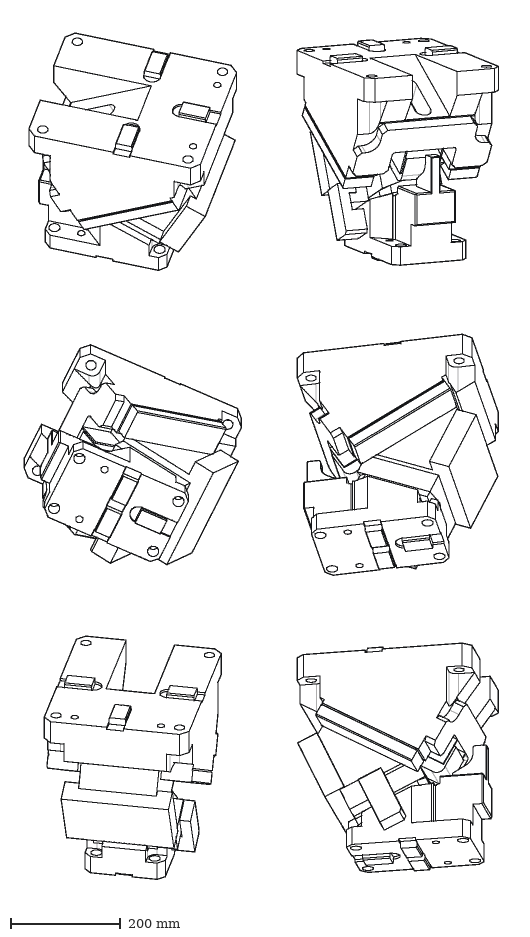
import cadquery as cq
import math


TOTAL_HEIGHT = 372.0

GUIDE_ANGLE = 30.0
DRIVER_ANGLE = 25.0

KEY_LENGTH = 50.5
KEY_WIDTH = 31.2
KEY_HEIGHT = 13.5
KEY_PROUD = 9.0
KEY_CHAMFER_SIDE = 1.5
KEY_CHAMFER_HEIGHT = 3.0
KEYWAY_DEPTH = KEY_HEIGHT - KEY_PROUD
KEYWAY_RUNOUT = KEY_WIDTH / 2

HOLDER_LEFT = 5.0
HOLDER_RIGHT = 330.7
HOLDER_HALF = 135.0
HOLDER_TOP = TOTAL_HEIGHT - KEY_PROUD
HOLDER_FLANGE_BOTTOM = 318.8
HOLDER_CORNER = 15.0
HOLDER_BOLT_HOLE = 18.5
HOLDER_BOLT_X = (29.8, 305.5)
HOLDER_BOLT_Y = 115.0
DOWEL_HOLE = 13.0
DOWEL_Y = 80.5
DOWEL_DEPTH = 22.5
HOLDER_KEY_X = 185.0
HOLDER_KEY_EDGE_GAP = 14.5
REAR_KEY_EDGE_GAP = 20.5

GUIDE_BOTTOM = 90.0
GUIDE_START = 169.0
GUIDE_END = 376.0
PLATE_TOP = 215.8
WEDGE_KNEE_X = 38.0
WEDGE_KNEE_Z = 273.5
STOP_FACE = 387.3
STOP_BOTTOM = 79.5
STOP_GROOVE_TOP = 97.5
RELIEF_LEFT = 49.5
RELIEF_RIGHT = 285.0
RELIEF_Y = 95.5
RELIEF_RADIUS = 15.0

POCKET_END_X = 190.0
POCKET_HALF = 45.0
SLOT_WIDTH = 31.2
SLOT_LEFT_X = 44.3
SLOT_RIGHT_X = 132.5
SLOT_DEPTH = 44.5

RAIL_INNER = 77.5
RAIL_BOTTOM = 64.5
RAIL_TOP = 87.0
RAIL_START = 169.5
RAIL_CHAMFER = 2.2
SHIM_RECESS = 1.0
SHIM_SETBACK = 5.2

PLATE_FACE = 148.8
PLATE_BOTTOM = 110.5
PLATE_NECK_CHAMFER = 9.0
PLATE_SHOULDER_RADIUS = 24.0
PLATE_SHOULDER = 166.0
PLATE_CORNER = 8.0
WINDOW_HALF = 64.0
WINDOW_TOP = 160.0
WINDOW_RADIUS = 5.5
WINDOW_END = 214.3

SLIDE_START = 37.0
SLIDE_END = 186.0
SLIDE_TOP = 88.5
SLIDE_HALF = 72.5
SOLE_HALF = 59.5
SOLE_TOP = 207.0
TOOL_BACK = 176.5
TOOL_FACE = 216.0
TOOL_TOP = 327.0
TOOL_HALF = 100.0
HOOK_HALF = 35.0
HOOK_FACE = 144.5
HOOK_TOP = 146.5
HOOK_RADIUS = 15.5
HOOK_CENTER = (159.5, 102.0)
HOOK_BOTTOM = 86.5
CHEEK_OUTER = 38.0
CHEEK_BOTTOM = 107.5

ARM_START = 105.0
ARM_OUTER = 97.5
ARM_BOTTOM = 163.0
CLAW_START = 100.5
CLAW_END = 147.3
CLAW_OUTER = 117.5
CLAW_UPPER_INNER = 83.5
CLAW_TOP = 199.5
CLAW_NOTCH_TOP = 180.5
CLAW_NOTCH_BOTTOM = 148.5
CLAW_BOTTOM = 104.0
CLAW_CHAMFER = 5.5

DRIVER_LEFT = 19.5
DRIVER_RIGHT = 250.7
DRIVER_HALF = 74.8
DRIVER_BOTTOM = KEY_PROUD
DRIVER_FLANGE_TOP = 43.0
DRIVER_CORNER = 12.5
DECK = 151.5
PAD_TOP = 157.0
PAD_LEFT = 92.3
PAD_RIGHT = 220.0
COLUMN_HALF = 40.5
COLUMN_STEP_X = 89.3
COLUMN_FLARE_X = 95.5
COLUMN_FLARE_Y = 43.5
DRIVER_RELIEF_Y = 41.0
NOSE_RIGHT = 80.5
NOSE_BOTTOM = 83.5
NOSE_TOP = 143.5
NOSE_CHAMFER = 2.5
FIN_HALF = 9.3
FIN_TOP = 209.0
FIN_WIDTH = 25.5
FIN_TIP_RADIUS = 4.5
FIN_ARC_RADIUS = 25.3
FIN_ARC_START_Z = 195.0
FIN_FOOT_X = 64.0
FIN_SLOPE = 30.0
FIN_CHAMFER = 1.5
ROOF_ANGLE = 15.0
ROOF_EDGE = 168.5
ROOF_CORNER_SHIFT = 6.0
LIP_TOP = 166.3
DRIVER_BOLT_HOLE = 20.0
DRIVER_BOLT_X = (34.5, 234.5)
DRIVER_BOLT_Y = 54.3
DRIVER_DOWEL_X = 85.5
DRIVER_KEY_X = 135.0
DRIVER_KEY_EDGE_GAP = 14.5
DRIVER_REAR_KEY_EDGE_GAP = 21.0



def guide_point(a, b):
    """X, Z of a point given along and square to the guide rails."""
    angle = math.radians(GUIDE_ANGLE)
    return (a * math.cos(angle) - b * math.sin(angle), a * math.sin(angle) + b * math.cos(angle))


def driver_point(u, w):
    """X, Z of a point given along and square to the driver surface."""
    angle = math.radians(DRIVER_ANGLE)
    return (u * math.cos(angle) + w * math.sin(angle), w * math.cos(angle) - u * math.sin(angle))


def driver_height(x, w):
    """Z at the given X of the line that lies w square to the driver frame's origin."""
    angle = math.radians(DRIVER_ANGLE)
    return (w - x * math.sin(angle)) / math.cos(angle)


def tilt_to_guide(shape):
    """Turn a shape built with X, Z as (a, b) into the guide frame."""
    return shape.rotate((0, 0, 0), (0, 1, 0), -GUIDE_ANGLE)


def tilt_to_driver(shape):
    """Turn a shape built with X, Z as (u, w) into the driver frame."""
    return shape.rotate((0, 0, 0), (0, 1, 0), DRIVER_ANGLE)


def box(x0, x1, y0, y1, z0, z1):
    return cq.Workplane("XY").box(x1 - x0, y1 - y0, z1 - z0, centered=False).translate((x0, y0, z0))


def side_prism(points, half_width):
    """Prism of an X-Z outline, symmetric about Y = 0."""
    return cq.Workplane("XZ").polyline(points).close().extrude(half_width, both=True)


def cross_prism(points, start, end):
    """Prism of a Y-Z outline, run along X from start to end."""
    return cq.Workplane("YZ").workplane(offset=start).polyline(points).close().extrude(end - start)


def mirror_pair(shape):
    """The shape together with its mirror image across Y = 0."""
    return shape.union(shape.mirror("XZ"))


def make_key():
    """Key along X, centred on the origin, standing on Z = 0, with its top long edges bevelled."""
    half = KEY_WIDTH / 2
    bevel_z = KEY_HEIGHT - KEY_CHAMFER_HEIGHT
    top_half = half - KEY_CHAMFER_SIDE
    outline = [(-half, 0), (half, 0), (half, bevel_z), (top_half, KEY_HEIGHT),
               (-top_half, KEY_HEIGHT), (-half, bevel_z)]
    return cross_prism(outline, -KEY_LENGTH / 2, KEY_LENGTH / 2)


def make_cross_key():
    return make_key().rotate((0, 0, 0), (0, 0, 1), 90)


def vertical_holes(xs, ys, diameter, z0, z1):
    points = [(x, y) for x in xs for y in ys]
    return cq.Workplane("XY").workplane(offset=z0).pushPoints(points).circle(diameter / 2).extrude(z1 - z0)



def holder_flange():
    return (box(HOLDER_LEFT, HOLDER_RIGHT, -HOLDER_HALF, HOLDER_HALF, HOLDER_FLANGE_BOTTOM, HOLDER_TOP)
            .edges("|Z").chamfer(HOLDER_CORNER))


def holder_wedge():
    """Wedge under the flange, with a stop nose at the right and rounded corner reliefs."""
    angle = math.radians(GUIDE_ANGLE)
    nose_z = STOP_BOTTOM / math.cos(angle) + HOLDER_RIGHT * math.tan(angle)
    wedge = side_prism([
        (HOLDER_LEFT, HOLDER_FLANGE_BOTTOM),
        (HOLDER_RIGHT, HOLDER_FLANGE_BOTTOM),
        (HOLDER_RIGHT, nose_z),
        guide_point(STOP_FACE, STOP_BOTTOM),
        guide_point(STOP_FACE, STOP_GROOVE_TOP),
        guide_point(GUIDE_END, STOP_GROOVE_TOP),
        guide_point(GUIDE_END, GUIDE_BOTTOM),
        guide_point(GUIDE_START, GUIDE_BOTTOM),
        guide_point(GUIDE_START, PLATE_TOP),
        (WEDGE_KNEE_X, WEDGE_KNEE_Z),
    ], HOLDER_HALF)
    left_relief = (box(0, RELIEF_LEFT, RELIEF_Y, HOLDER_HALF, 0, HOLDER_FLANGE_BOTTOM)
                   .edges("|Z and >X and <Y").fillet(RELIEF_RADIUS))
    right_relief = (box(RELIEF_RIGHT, HOLDER_RIGHT, RELIEF_Y, HOLDER_HALF, 0, HOLDER_FLANGE_BOTTOM)
                    .edges("|Z and <X and <Y").fillet(RELIEF_RADIUS))
    return wedge.cut(mirror_pair(left_relief)).cut(mirror_pair(right_relief))


def guide_rails():
    """Rails under both sides of the wedge, each on a slightly recessed shim."""
    rail = box(RAIL_START, GUIDE_END, RAIL_INNER, HOLDER_HALF, RAIL_BOTTOM, RAIL_TOP)
    rail = rail.edges("|X and >Y and <Z").chamfer(RAIL_CHAMFER)
    shim = box(RAIL_START + SHIM_SETBACK, GUIDE_END, RAIL_INNER, HOLDER_HALF - SHIM_RECESS,
               RAIL_TOP, GUIDE_BOTTOM)
    return tilt_to_guide(mirror_pair(rail.union(shim)))


def stop_plate():
    """Plate across the left end of the wedge, narrowed at the top by concave shoulders."""
    shoulder_y = RELIEF_Y + PLATE_SHOULDER_RADIUS
    arc_z = PLATE_SHOULDER + PLATE_SHOULDER_RADIUS
    arc_reach = PLATE_SHOULDER_RADIUS * math.sqrt(0.5)
    half = (
        cq.Workplane("YZ").workplane(offset=PLATE_FACE)
        .moveTo(0, PLATE_TOP)
        .lineTo(RELIEF_Y - PLATE_NECK_CHAMFER, PLATE_TOP)
        .lineTo(RELIEF_Y, PLATE_TOP - PLATE_NECK_CHAMFER)
        .lineTo(RELIEF_Y, arc_z)
        .threePointArc((shoulder_y - arc_reach, arc_z - arc_reach), (shoulder_y, PLATE_SHOULDER))
        .lineTo(HOLDER_HALF - PLATE_CORNER, PLATE_SHOULDER)
        .lineTo(HOLDER_HALF, PLATE_SHOULDER - PLATE_CORNER)
        .lineTo(HOLDER_HALF, PLATE_BOTTOM + PLATE_CORNER)
        .lineTo(HOLDER_HALF - PLATE_CORNER, PLATE_BOTTOM)
        .lineTo(0, PLATE_BOTTOM)
        .close()
        .extrude(GUIDE_START - PLATE_FACE)
    )
    return tilt_to_guide(mirror_pair(half))


def hook_window():
    """Opening through the stop plate and into the wedge that clears the slide's hook."""
    window = box(PLATE_FACE, WINDOW_END, -WINDOW_HALF, WINDOW_HALF, GUIDE_BOTTOM, WINDOW_TOP)
    window = window.edges("|X and >Z").fillet(WINDOW_RADIUS)
    flare_half = WINDOW_HALF + PLATE_CORNER
    flare = cross_prism([
        (-flare_half, GUIDE_BOTTOM),
        (flare_half, GUIDE_BOTTOM),
        (flare_half, PLATE_BOTTOM),
        (WINDOW_HALF, PLATE_BOTTOM + PLATE_CORNER),
        (-WINDOW_HALF, PLATE_BOTTOM + PLATE_CORNER),
        (-flare_half, PLATE_BOTTOM),
    ], PLATE_FACE, WINDOW_END)
    return tilt_to_guide(window.union(flare))


def holder_pocket():
    """Sloping pocket, open to the left, with a round-ended slot in its floor."""
    angle = math.radians(GUIDE_ANGLE)
    floor = HOLDER_TOP * math.cos(angle) - POCKET_END_X * math.sin(angle)
    pocket = side_prism([
        (POCKET_END_X, HOLDER_TOP),
        guide_point(0, floor),
        (guide_point(0, floor)[0], HOLDER_TOP),
    ], POCKET_HALF)
    slot_length = (SLOT_RIGHT_X - SLOT_LEFT_X) / math.cos(angle)
    slot_middle = ((SLOT_LEFT_X + SLOT_RIGHT_X) / 2 + floor * math.sin(angle)) / math.cos(angle)
    slot = (cq.Workplane("XY").workplane(offset=floor).center(slot_middle, 0)
            .slot2D(slot_length, SLOT_WIDTH).extrude(-SLOT_DEPTH))
    return pocket.union(tilt_to_guide(slot))


def round_keyway(length):
    """Keyway cutter along -X from the origin to its round end, standing on Z = 0."""
    radius = KEY_WIDTH / 2
    strip = box(radius - length, 0, -radius, radius, 0, KEYWAY_DEPTH)
    end = cq.Workplane("XY").center(radius - length, 0).circle(radius).extrude(KEYWAY_DEPTH)
    return strip.union(end)


def make_holder():
    keyway_floor = HOLDER_TOP - KEYWAY_DEPTH
    side_keyway = (round_keyway(HOLDER_KEY_EDGE_GAP + KEY_LENGTH + KEYWAY_RUNOUT)
                   .rotate((0, 0, 0), (0, 0, 1), 90)
                   .translate((HOLDER_KEY_X, HOLDER_HALF, keyway_floor)))
    rear_keyway = (round_keyway(REAR_KEY_EDGE_GAP + KEY_LENGTH + KEYWAY_RUNOUT)
                   .translate((HOLDER_RIGHT, 0, keyway_floor)))
    side_key_y = HOLDER_HALF - HOLDER_KEY_EDGE_GAP - KEY_LENGTH / 2
    rear_key_x = HOLDER_RIGHT - REAR_KEY_EDGE_GAP - KEY_LENGTH / 2
    bolt_holes = vertical_holes(HOLDER_BOLT_X, (-HOLDER_BOLT_Y, HOLDER_BOLT_Y), HOLDER_BOLT_HOLE,
                                HOLDER_FLANGE_BOTTOM, HOLDER_TOP)
    dowel_holes = vertical_holes(HOLDER_BOLT_X[1:], (-DOWEL_Y, DOWEL_Y), DOWEL_HOLE,
                                 HOLDER_TOP - DOWEL_DEPTH, HOLDER_TOP)
    return (
        holder_flange()
        .union(holder_wedge())
        .union(guide_rails())
        .union(stop_plate())
        .cut(hook_window())
        .cut(holder_pocket())
        .cut(mirror_pair(side_keyway))
        .cut(rear_keyway)
        .cut(bolt_holes)
        .cut(dowel_holes)
        .union(mirror_pair(make_cross_key().translate((HOLDER_KEY_X, side_key_y, keyway_floor))))
        .union(make_key().translate((rear_key_x, 0, keyway_floor)))
    )



def roof_rise(distance):
    """Rise of the V surface over a distance across it."""
    return distance * math.tan(math.radians(ROOF_ANGLE))



def slide_body():
    """Block under the guide, cut off square to it at the right end."""
    angle_gap = math.radians(GUIDE_ANGLE + DRIVER_ANGLE)
    left_a = (SLIDE_START + SLIDE_TOP * math.sin(angle_gap)) / math.cos(angle_gap)
    right_b = (TOOL_TOP - GUIDE_END * math.sin(angle_gap)) / math.cos(angle_gap)
    return side_prism([
        driver_point(SLIDE_START, SOLE_TOP),
        guide_point(left_a, SLIDE_TOP),
        guide_point(GUIDE_END, SLIDE_TOP),
        guide_point(GUIDE_END, right_b),
        driver_point(TOOL_BACK, TOOL_TOP),
        driver_point(TOOL_BACK, SOLE_TOP),
    ], SLIDE_HALF)


def slide_sole():
    """Narrower block under the slide, hollowed to a V that rides on the driver."""
    sole = cross_prism([
        (-SOLE_HALF, ROOF_EDGE),
        (0, ROOF_EDGE + roof_rise(SOLE_HALF)),
        (SOLE_HALF, ROOF_EDGE),
        (SOLE_HALF, SOLE_TOP),
        (-SOLE_HALF, SOLE_TOP),
    ], SLIDE_START, SLIDE_END)
    return tilt_to_driver(sole)


def tool_plate():
    return tilt_to_driver(box(TOOL_BACK, TOOL_FACE, -TOOL_HALF, TOOL_HALF, SOLE_TOP, TOOL_TOP))


def slide_hook():
    """Hook at the left end of the slide, with a round toe, between two thin cheeks."""
    toe_a, toe_b = HOOK_CENTER
    block = box(HOOK_FACE, WINDOW_END, -HOOK_HALF, HOOK_HALF, toe_b, HOOK_TOP)
    foot = box(toe_a, WINDOW_END, -HOOK_HALF, HOOK_HALF, HOOK_BOTTOM, toe_b)
    toe = (cq.Workplane("XZ").center(toe_a, toe_b).circle(HOOK_RADIUS)
           .extrude(HOOK_HALF, both=True))
    cheek = box(PLATE_FACE, WINDOW_END, HOOK_HALF, CHEEK_OUTER, CHEEK_BOTTOM, WINDOW_TOP)
    return tilt_to_guide(block.union(foot).union(toe).union(mirror_pair(cheek)))


def return_claw():
    """Arm on the +Y side of the slide that carries a claw reaching down beside the driver."""
    arm = box(ARM_START, SLIDE_END, SOLE_HALF, ARM_OUTER, ARM_BOTTOM, SOLE_TOP)
    claw = cross_prism([
        (CLAW_UPPER_INNER, CLAW_TOP),
        (CLAW_OUTER, CLAW_TOP),
        (CLAW_OUTER, CLAW_BOTTOM),
        (DRIVER_HALF, CLAW_BOTTOM),
        (DRIVER_HALF, CLAW_NOTCH_BOTTOM),
        (ARM_OUTER, CLAW_NOTCH_BOTTOM),
        (ARM_OUTER, CLAW_NOTCH_TOP),
        (CLAW_UPPER_INNER, CLAW_NOTCH_TOP),
    ], CLAW_START, CLAW_END)
    claw = claw.edges("|Y and <X and <Z").chamfer(CLAW_CHAMFER)
    return tilt_to_driver(arm.union(claw))


def make_slide():
    return (
        slide_body()
        .union(slide_sole())
        .union(tool_plate())
        .union(slide_hook())
        .union(return_claw())
    )



def driver_flange():
    return (box(DRIVER_LEFT, DRIVER_RIGHT, -DRIVER_HALF, DRIVER_HALF, DRIVER_BOTTOM, DRIVER_FLANGE_TOP)
            .edges("|Z").chamfer(DRIVER_CORNER))


def driver_column():
    """Column that flares from the nose to the full width, under a stepped sloping top."""
    flare_end_x = COLUMN_FLARE_X + DRIVER_HALF - COLUMN_FLARE_Y
    plan = [
        (DRIVER_LEFT, 0),
        (DRIVER_LEFT, COLUMN_HALF),
        (COLUMN_STEP_X, COLUMN_HALF),
        (COLUMN_STEP_X + COLUMN_FLARE_Y - COLUMN_HALF, COLUMN_FLARE_Y),
        (COLUMN_FLARE_X, COLUMN_FLARE_Y),
        (flare_end_x, DRIVER_HALF),
        (DRIVER_RIGHT, DRIVER_HALF),
        (DRIVER_RIGHT, 0),
    ]
    half = (cq.Workplane("XY").workplane(offset=DRIVER_FLANGE_TOP).polyline(plan).close()
            .extrude(NOSE_TOP - DRIVER_FLANGE_TOP))
    relief = (box(PAD_RIGHT, DRIVER_RIGHT, DRIVER_RELIEF_Y, DRIVER_HALF, DRIVER_FLANGE_TOP, NOSE_TOP)
              .edges("|Z and <X and <Y").fillet(RELIEF_RADIUS))
    below_top = side_prism([
        (DRIVER_LEFT, DRIVER_FLANGE_TOP),
        (DRIVER_LEFT, driver_height(NOSE_RIGHT, DECK)),
        (NOSE_RIGHT, driver_height(NOSE_RIGHT, DECK)),
        (PAD_LEFT, driver_height(PAD_LEFT, DECK)),
        (PAD_LEFT, driver_height(PAD_LEFT, PAD_TOP)),
        (PAD_RIGHT, driver_height(PAD_RIGHT, PAD_TOP)),
        (PAD_RIGHT, driver_height(PAD_RIGHT, DECK)),
        (DRIVER_RIGHT, driver_height(DRIVER_RIGHT, DECK)),
        (DRIVER_RIGHT, DRIVER_FLANGE_TOP),
    ], DRIVER_HALF)
    return mirror_pair(half.cut(relief)).intersect(below_top)


def driver_roof():
    """V ridge under the slide, with its left corners cut off at 45 degrees."""
    apex = ROOF_EDGE + roof_rise(SOLE_HALF)
    ridge = cross_prism([
        (-SOLE_HALF, PAD_TOP),
        (SOLE_HALF, PAD_TOP),
        (SOLE_HALF, ROOF_EDGE),
        (0, apex),
        (-SOLE_HALF, ROOF_EDGE),
    ], SLIDE_START, SLIDE_END)
    corner_u = SOLE_HALF - ROOF_CORNER_SHIFT
    corner_y = SLIDE_START + ROOF_CORNER_SHIFT
    corner = (cq.Workplane("XY").workplane(offset=PAD_TOP)
              .polyline([(SLIDE_START, corner_y), (SLIDE_START, SOLE_HALF), (corner_u, SOLE_HALF)]).close()
              .extrude(apex - PAD_TOP))
    return tilt_to_driver(ridge.cut(mirror_pair(corner)))


def driver_lip():
    """Raised strip between the roof and the right face."""
    strip = box(SLIDE_END, DRIVER_RIGHT, -DRIVER_RELIEF_Y, DRIVER_RELIEF_Y, DECK, LIP_TOP)
    limit = box(0, DRIVER_RIGHT, -DRIVER_HALF, DRIVER_HALF, DRIVER_FLANGE_TOP, NOSE_TOP)
    return tilt_to_driver(strip).intersect(limit)


def driver_nose():
    block = box(0, NOSE_RIGHT, -COLUMN_HALF, COLUMN_HALF, NOSE_BOTTOM, NOSE_TOP)
    return block.faces("<X").edges().chamfer(NOSE_CHAMFER).edges("|X and >Z").chamfer(NOSE_CHAMFER)


def driver_fin():
    """Upright fin on the nose with a concave back that runs out into a slope."""
    slope = math.radians(FIN_SLOPE)
    turn = math.pi / 2 - slope
    arc_x = FIN_WIDTH + FIN_ARC_RADIUS
    arc_middle = (arc_x - FIN_ARC_RADIUS * math.cos(turn / 2),
                  FIN_ARC_START_Z - FIN_ARC_RADIUS * math.sin(turn / 2))
    arc_end = (arc_x - FIN_ARC_RADIUS * math.cos(turn),
               FIN_ARC_START_Z - FIN_ARC_RADIUS * math.sin(turn))
    foot_z = arc_end[1] - (FIN_FOOT_X - arc_end[0]) * math.tan(slope)
    tip_reach = FIN_TIP_RADIUS * math.sqrt(0.5)
    tip_x = FIN_WIDTH - FIN_TIP_RADIUS
    tip_z = FIN_TOP - FIN_TIP_RADIUS
    fin = (
        cq.Workplane("XZ")
        .moveTo(0, NOSE_BOTTOM + NOSE_CHAMFER)
        .lineTo(0, FIN_TOP)
        .lineTo(tip_x, FIN_TOP)
        .threePointArc((tip_x + tip_reach, tip_z + tip_reach), (FIN_WIDTH, tip_z))
        .lineTo(FIN_WIDTH, FIN_ARC_START_Z)
        .threePointArc(arc_middle, arc_end)
        .lineTo(FIN_FOOT_X, foot_z)
        .lineTo(FIN_FOOT_X, NOSE_BOTTOM + NOSE_CHAMFER)
        .close()
        .extrude(FIN_HALF, both=True)
    )
    return fin.edges("(|Y and <X and >Z) or (|Z and <X)").chamfer(FIN_CHAMFER)


def make_driver():
    key_z = DRIVER_BOTTOM + KEYWAY_DEPTH
    side_key_y = DRIVER_HALF - DRIVER_KEY_EDGE_GAP - KEY_LENGTH / 2
    rear_key_x = DRIVER_RIGHT - DRIVER_REAR_KEY_EDGE_GAP - KEY_LENGTH / 2
    half_key = KEY_WIDTH / 2
    side_keyway = box(DRIVER_KEY_X - half_key, DRIVER_KEY_X + half_key, -DRIVER_HALF, DRIVER_HALF,
                      DRIVER_BOTTOM, key_z)
    rear_keyway = (round_keyway(DRIVER_REAR_KEY_EDGE_GAP + KEY_LENGTH + KEYWAY_RUNOUT)
                   .translate((DRIVER_RIGHT, 0, DRIVER_BOTTOM)))
    side_key = make_cross_key().mirror("XY").translate((DRIVER_KEY_X, side_key_y, key_z))
    rear_key = make_key().mirror("XY").translate((rear_key_x, 0, key_z))
    hole_y = (-DRIVER_BOLT_Y, DRIVER_BOLT_Y)
    bolt_holes = vertical_holes(DRIVER_BOLT_X, hole_y, DRIVER_BOLT_HOLE, DRIVER_BOTTOM, DRIVER_FLANGE_TOP)
    dowel_holes = vertical_holes((DRIVER_DOWEL_X,), hole_y, DOWEL_HOLE, DRIVER_BOTTOM, DRIVER_FLANGE_TOP)
    return (
        driver_flange()
        .union(driver_column())
        .union(driver_roof())
        .union(driver_lip())
        .union(driver_nose())
        .union(driver_fin())
        .cut(bolt_holes)
        .cut(dowel_holes)
        .cut(side_keyway)
        .cut(rear_keyway)
        .union(mirror_pair(side_key))
        .union(rear_key)
    )


holder = make_holder()
slide = make_slide()
driver = make_driver()

result = cq.Compound.makeCompound([body.solids().val() for body in (holder, slide, driver)])